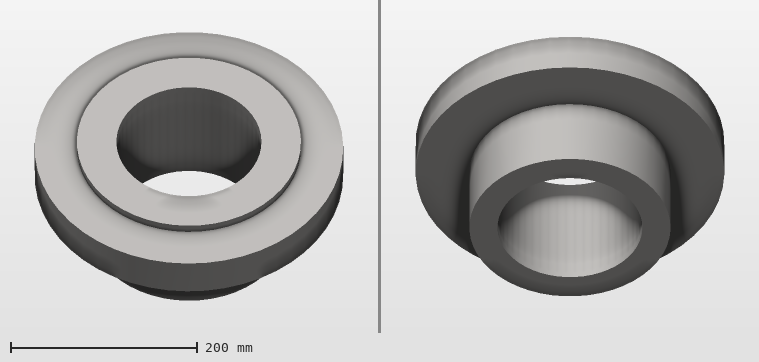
import cadquery as cq

flange_diameter = 330.0
face_diameter = 239.5
hub_diameter = 215.0
bore_diameter = 155.0
total_height = 135.0
flange_thickness = 45.0
face_height = 10.0
hub_height = total_height - flange_thickness - face_height

hub = cq.Workplane("XY").circle(hub_diameter / 2).extrude(hub_height)
flanged_hub = hub.faces(">Z").workplane().circle(flange_diameter / 2).extrude(flange_thickness)
body = flanged_hub.faces(">Z").workplane().circle(face_diameter / 2).extrude(face_height)

bore = cq.Workplane("XY").circle(bore_diameter / 2).extrude(total_height)
result = body.cut(bore)